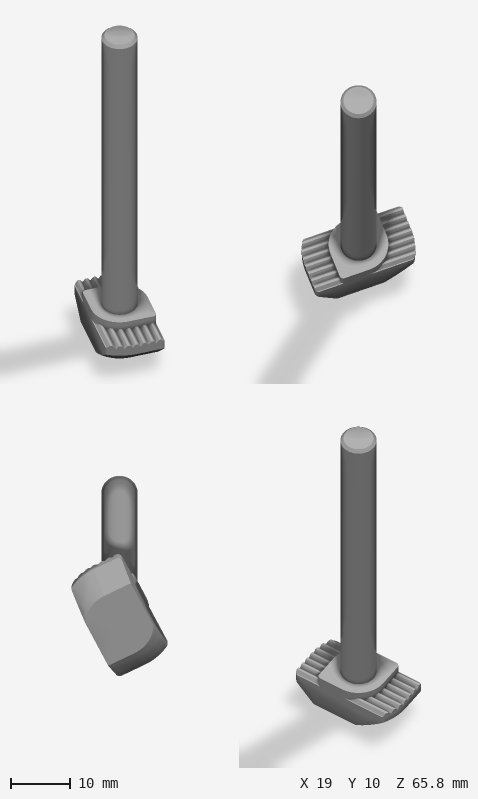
import cadquery as cq
import math

TOTAL_HEIGHT = 65.8
HEAD_LENGTH = 19.0
HEAD_WIDTH = 10.0
HALF_LENGTH = HEAD_LENGTH / 2
HALF_WIDTH = HEAD_WIDTH / 2

BEVEL_HEIGHT = 3.8
WING_TOP = 5.85
COLLAR_TOP = 7.3

SHANK_RADIUS = 3.0
SHANK_CHAMFER = 0.5

CORNER_RADIUS = 0.65

GROOVE_PITCH = 1.4
GROOVE_WIDTH = 1.0
GROOVE_DEPTH = 0.6
GROOVES_PER_SIDE = 4


def turning_outline(half_length):
    """Outline with two square corners and two opposite corners rounded about the axis."""
    arc_end_x = math.sqrt(half_length**2 - HALF_WIDTH**2)
    mid_angle = math.asin(HALF_WIDTH / half_length) / 2
    mid_x = half_length * math.cos(mid_angle)
    mid_y = half_length * math.sin(mid_angle)
    outline = cq.Workplane("XY").moveTo(-half_length, 0).lineTo(-half_length, -HALF_WIDTH)
    outline = outline.lineTo(arc_end_x, -HALF_WIDTH)
    outline = outline.threePointArc((mid_x, -mid_y), (half_length, 0))
    outline = outline.lineTo(half_length, HALF_WIDTH).lineTo(-arc_end_x, HALF_WIDTH)
    return outline.threePointArc((-mid_x, mid_y), (-half_length, 0)).close()


def bevel_envelope():
    """45 degree bevel: conical over the rounded quadrants, flat over the square ones."""
    half_profile = [
        (0, 0),
        (HALF_LENGTH - BEVEL_HEIGHT, 0),
        (HALF_LENGTH, BEVEL_HEIGHT),
        (HALF_LENGTH, WING_TOP),
        (0, WING_TOP),
    ]
    cone = cq.Workplane("XZ").polyline(half_profile).close().revolve(360, (0, 0), (0, 1))
    right_wedge = cq.Workplane("XZ").polyline(half_profile).close().extrude(-HALF_WIDTH)
    left_wedge = right_wedge.rotate((0, 0, 0), (0, 0, 1), 180)
    return cone.union(right_wedge).union(left_wedge)


def groove(center_y):
    """V-groove running along X."""
    bottom = WING_TOP - GROOVE_DEPTH
    points = [
        (center_y - GROOVE_WIDTH / 2, WING_TOP),
        (center_y, bottom),
        (center_y + GROOVE_WIDTH / 2, WING_TOP),
    ]
    return cq.Workplane("YZ").polyline(points).close().extrude(HALF_LENGTH, both=True)


def edge_groove(side):
    """Outermost groove: one sloping flank, then flat out to the side of the head."""
    valley_y = (GROOVES_PER_SIDE - 0.5) * GROOVE_PITCH
    bottom = WING_TOP - GROOVE_DEPTH
    points = [
        (side * (valley_y - GROOVE_WIDTH / 2), WING_TOP),
        (side * valley_y, bottom),
        (side * HALF_WIDTH, bottom),
        (side * HALF_WIDTH, WING_TOP),
    ]
    return cq.Workplane("YZ").polyline(points).close().extrude(HALF_LENGTH, both=True)


side_corners = cq.selectors.BoxSelector(
    (-HEAD_LENGTH, -HALF_WIDTH / 2, 0), (HEAD_LENGTH, HALF_WIDTH / 2, WING_TOP)
)
wings = turning_outline(HALF_LENGTH).extrude(WING_TOP)
wings = wings.edges("|Z").edges(cq.selectors.InverseSelector(side_corners)).fillet(CORNER_RADIUS)
wings = wings.intersect(bevel_envelope())
for side in (-1, 1):
    for index in range(GROOVES_PER_SIDE - 1):
        wings = wings.cut(groove(side * (index + 0.5) * GROOVE_PITCH))
    wings = wings.cut(edge_groove(side))

collar = turning_outline(HALF_WIDTH).extrude(COLLAR_TOP - BEVEL_HEIGHT)
for corner in ("<(1,1,0)", ">(1,1,0)"):
    collar = collar.edges("|Z").edges(corner).fillet(CORNER_RADIUS)
collar = collar.translate((0, 0, BEVEL_HEIGHT))

shank = cq.Workplane("XY").circle(SHANK_RADIUS).extrude(TOTAL_HEIGHT)
shank = shank.faces(">Z").chamfer(SHANK_CHAMFER)

result = wings.union(collar).union(shank)